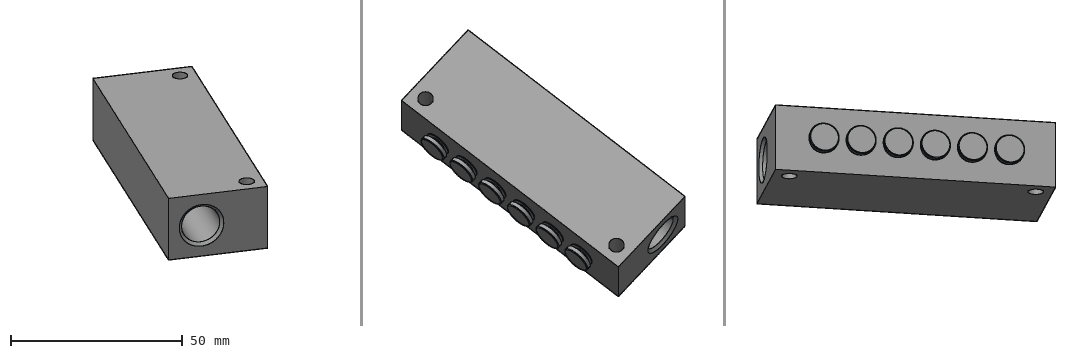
import cadquery as cq

length = 83.0
height = 20.0
overall_depth = 32.7
fitting_projection = 2.7
block_depth = overall_depth - fitting_projection
back_face = block_depth / 2

bore_diameter = 11.5
bore_mouth_diameter = 13.45
bore_front_offset = 10.0
countersink_depth = (bore_mouth_diameter - bore_diameter) / 2
bore_y = bore_front_offset - block_depth / 2

mount_hole_diameter = 4.5
mount_hole_inset = 5.0

fitting_count = 6
fitting_pitch = 11.0
collar_diameter = 8.0
collar_height = 0.25
neck_diameter = 5.15
flange_diameter = 8.7
flange_thickness = 1.5
flange_edge_chamfer = 0.25


def make_block():
    return cq.Workplane("XY").box(length, block_depth, height)


def make_bore():
    """Full-length bore as one revolved solid, flared at both end faces."""
    half_length = length / 2
    bore_radius = bore_diameter / 2
    mouth_radius = bore_mouth_diameter / 2
    straight_end = half_length - countersink_depth
    profile = [
        (-half_length, 0),
        (-half_length, mouth_radius),
        (-straight_end, bore_radius),
        (straight_end, bore_radius),
        (half_length, mouth_radius),
        (half_length, 0),
    ]
    bore = cq.Workplane("XZ").polyline(profile).close().revolve(360, (0, 0), (1, 0))
    return bore.translate((0, bore_y, 0))


def make_mount_holes():
    hole_x = length / 2 - mount_hole_inset
    hole_y = back_face - mount_hole_inset
    return (
        cq.Workplane("XY", origin=(0, 0, -height / 2))
        .pushPoints([(-hole_x, hole_y), (hole_x, hole_y)])
        .circle(mount_hole_diameter / 2)
        .extrude(height)
    )


def make_fitting(x):
    """Collar, neck and flange, turned about an axis pointing out of the back face."""
    collar_radius = collar_diameter / 2
    neck_radius = neck_diameter / 2
    flange_radius = flange_diameter / 2
    flange_base = fitting_projection - flange_thickness
    profile = [
        (0, 0),
        (collar_radius, 0),
        (collar_radius, collar_height),
        (neck_radius, collar_height),
        (neck_radius, flange_base),
        (flange_radius, flange_base),
        (flange_radius, fitting_projection - flange_edge_chamfer),
        (flange_radius - flange_edge_chamfer, fitting_projection),
        (0, fitting_projection),
    ]
    fitting = cq.Workplane("XY").polyline(profile).close().revolve(360, (0, 0), (0, 1))
    return fitting.translate((x, back_face, 0))


result = make_block().cut(make_bore()).cut(make_mount_holes())

first_fitting_x = -fitting_pitch * (fitting_count - 1) / 2
for index in range(fitting_count):
    result = result.union(make_fitting(first_fitting_x + index * fitting_pitch))